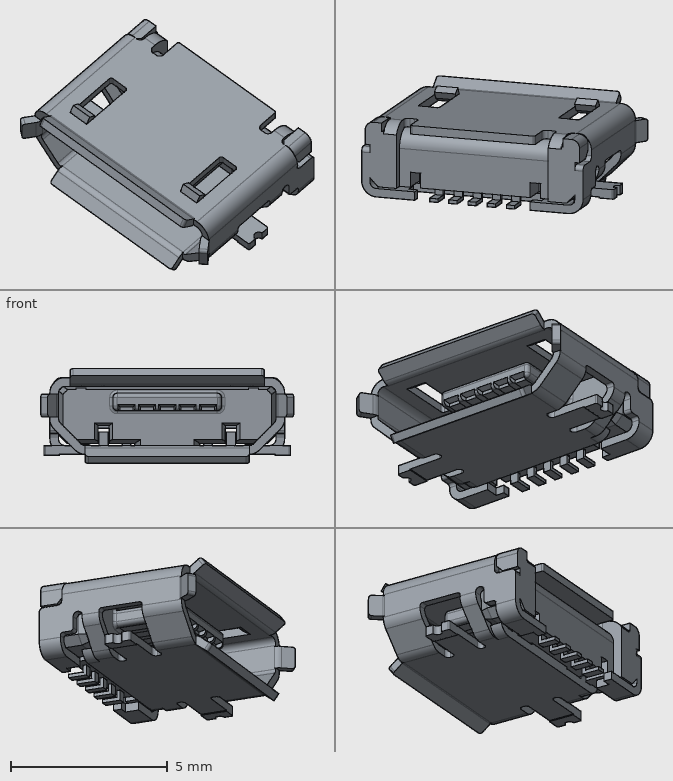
import cadquery as cq
import math


SHELL_WIDTH = 7.5
SHELL_HEIGHT = 2.45
SHELL_LENGTH = 5.0
SHEET = 0.28
BEND_RADIUS = 0.5
HALF_WIDTH = SHELL_WIDTH / 2
FULL_ROUND = 0.995
INNER_HALF_WIDTH = HALF_WIDTH - SHEET
INNER_TOP = SHELL_HEIGHT - SHEET
LOWER_CORNER_CUT = 0.943
MOUTH_SECTION_END = 3.49

LIP_RISE = 0.29
LIP_BEND_START = 0.05
LIP_BEND_RADIUS = 0.08
TOP_LIP_WIDTH = 6.2
BOTTOM_LIP_WIDTH = 5.24
SIDE_LIP_BOTTOM = 1.19
SIDE_LIP_TOP = 1.92
LIP_CORNER = 0.1
LIP_ANGLE = math.radians(36.5)

WINDOW_FRONT = 1.39
WINDOW_REAR = 2.90
WINDOW_TOP = 1.29
WINDOW_CORNER = 0.1
WINDOW_INNER = 2.44
RELIEF_END = 2.14
FOOT_FRONT = 1.71
FOOT_REAR = 2.62
FOOT_TIP = 3.94
FOOT_DROP = 0.035
FOOT_PAD_START = 3.445
FOOT_CORNER = 0.05
FOOT_NOTCH_RADIUS = 0.155

FINGER_INNER = 2.02
FINGER_OUTER = 2.73
FINGER_ROOT = 0.555
FINGER_SLOT_REAR = 2.49
FINGER_SLOT_CORNER = 0.08
FINGER_LENGTH = 0.275
FINGER_LEAN = math.radians(32)

J_SLOT_REAR = 3.80
J_SLOT_TOP = WINDOW_TOP
CHANNEL_TOP = 0.66
CHANNEL_BOTTOM = 0.32
CHANNEL_CORNER = 0.1
HOOK_FRONT = 4.25
HOOK_INNER = 2.25
FLOOR_REAR = 3.90
FLOOR_TAIL_HALF = 2.9
REAR_TAB_FRONT = 4.72
REAR_TAB_INNER = 1.95
ROOF_CORNER = 0.06
CORNER_NOTCH_FRONT = 4.20
CORNER_NOTCH_BOTTOM = 1.60
CORNER_NOTCH_INNER = 3.01
CORNER_NOTCH_RADIUS = 0.16
REAR_SLOT_OUTER = 2.57
REAR_SLOT_INNER = 2.11
REAR_SLOT_FRONT = 4.13
REAR_SLOT_CORNER = 0.15
CURL_FRONT = 4.40
CURL_DROP = 0.35

LATCH_CENTER = 2.03
LATCH_WIDTH = 0.31
LATCH_TOP = 0.72

HOUSING_FRONT = 3.30
HOUSING_TAPER_END = 3.75
HOUSING_BOTTOM = 0.34
HOUSING_LOWER_CUT = 0.28
HOUSING_UPPER_CUT = 0.15
FRONT_INSET_SIDE = 0.14
FRONT_INSET_TOP = 0.108
CENTER_FOOT_HALF = 0.85
FOOT_RAMP_WIDTH = 0.19
LEAD_IN_TOP = 0.476
LEAD_IN_DEPTH = HOUSING_TAPER_END - HOUSING_FRONT
LATCH_SLOT_WIDTH = 0.35
LATCH_SLOT_TOP = 0.83
LATCH_ENTRY_TOP = 0.916
LATCH_ENTRY_DEPTH = 0.6
LATCH_MOUTH_WIDTH = 0.57
LATCH_MOUTH_TOP = 1.0
LATCH_MOUTH_DEPTH = 0.2
RIB_INNER = 2.6
RIB_OUTER = 2.91
RIB_RISE = 0.05
BLOCK_OUTER = 3.63
BLOCK_INNER = 3.067
BLOCK_BOTTOM = 1.70
BLOCK_RADIUS = 0.27
BLOCK_CHAMFER = 0.22
BLOCK_CORNER = 0.12
REAR_FACE = 4.70
REAR_ROUND = 0.58

TONGUE_TIP = 1.0
TONGUE_HALF_WIDTH = 1.735
TONGUE_BOTTOM = 1.395
TONGUE_TOP = 1.95
TONGUE_RADIUS = 0.14
TONGUE_ROOT_RADIUS = 0.1

CONTACT_COUNT = 5
CONTACT_PITCH = 0.65
CONTACT_WIDTH = 0.42
CONTACT_TAIL_WIDTH = 0.28
CONTACT_THICKNESS = 0.12
CONTACT_BOTTOM = TONGUE_BOTTOM
CONTACT_RECESS = 0.2
POCKET_WIDTH = 0.55
POCKET_TOP = 1.59
LEG_FRONT = 4.40
TAIL_END = 5.025

OVERSHOOT = 1.0
TOUCH = 0.01


def box(x0, x1, y0, y1, z0, z1):
    return cq.Workplane("XY").box(x1 - x0, y1 - y0, z1 - z0, centered=False).translate((x0, y0, z0))


def along_y(outline, y0, y1):
    """Extrude a closed (x, z) outline from y0 to y1."""
    return cq.Workplane("XZ", origin=(0, y0, 0)).polyline(outline).close().extrude(y0 - y1)


def along_x(outline, x0, x1):
    """Extrude a closed (y, z) outline from x0 to x1."""
    return cq.Workplane("YZ", origin=(x0, 0, 0)).polyline(outline).close().extrude(x1 - x0)


def funnel(front, rear, y0, y1):
    """Straight-sided transition from one (x, z) outline at y0 to another at y1."""
    return (
        cq.Workplane("XZ", origin=(0, y0, 0)).polyline(front).close()
        .workplane(offset=y0 - y1).polyline(rear).close()
        .loft(ruled=True)
    )


def rectangle(x0, x1, z0, z1):
    return [(x0, z0), (x1, z0), (x1, z1), (x0, z1)]


def both_sides(solid):
    return solid.union(solid.mirror("YZ"))


def mouth_outline(inset):
    side = HALF_WIDTH - inset
    cut = LOWER_CORNER_CUT - inset * (2 - math.sqrt(2))
    top = SHELL_HEIGHT - inset
    return [
        (side, top),
        (-side, top),
        (-side, inset + cut),
        (-side + cut, inset),
        (side - cut, inset),
        (side, inset + cut),
    ]


def rear_outline(inset):
    return rectangle(-HALF_WIDTH + inset, HALF_WIDTH - inset, inset, SHELL_HEIGHT - inset)


def floor_tail_outline(inset):
    return rectangle(-FLOOR_TAIL_HALF + inset, FLOOR_TAIL_HALF - inset, inset, SHELL_HEIGHT - inset)


def tube(outline, y0, y1):
    """Bent sheet of constant thickness between an outline and its inset copy."""
    outer = along_y(outline(0), y0, y1).edges("|Y").fillet(BEND_RADIUS)
    inner = along_y(outline(SHEET), y0, y1).edges("|Y").fillet(BEND_RADIUS - SHEET)
    return outer.cut(inner)


def lip(width):
    """Lip along X at the origin, bent from -Y up towards +Z, on a wall whose outer face is z = 0."""
    sine = math.sin(LIP_ANGLE)
    cosine = math.cos(LIP_ANGLE)

    def on_bend(radius, angle):
        return (LIP_BEND_START - radius * math.sin(angle), LIP_BEND_RADIUS - radius * math.cos(angle))

    inner_radius = LIP_BEND_RADIUS + SHEET
    outer_bend_end = on_bend(LIP_BEND_RADIUS, LIP_ANGLE)
    tip_outer = (outer_bend_end[0] - (LIP_RISE - outer_bend_end[1]) * cosine / sine, LIP_RISE)
    tip_inner = (tip_outer[0] - SHEET * sine, LIP_RISE - SHEET * cosine)
    body = (
        cq.Workplane("YZ", origin=(-width / 2, 0, 0))
        .moveTo(LIP_BEND_START, 0)
        .threePointArc(on_bend(LIP_BEND_RADIUS, LIP_ANGLE / 2), outer_bend_end)
        .lineTo(*tip_outer)
        .lineTo(*tip_inner)
        .lineTo(*on_bend(inner_radius, LIP_ANGLE))
        .threePointArc(on_bend(inner_radius, LIP_ANGLE / 2), (LIP_BEND_START, -SHEET))
        .close()
        .extrude(width)
    )
    tip_middle = ((tip_outer[0] + tip_inner[0]) / 2, (tip_outer[1] + tip_inner[1]) / 2)
    for x in (-width / 2, width / 2):
        corner = cq.selectors.NearestToPointSelector((x, *tip_middle))
        body = body.edges(corner).fillet(LIP_CORNER)
    return body


def lip_seat(width):
    """Front strip of the shell wall that a lip of this width replaces."""
    return box(-width / 2, width / 2, 0, LIP_BEND_START, -SHEET, 0)


def around_mouth(make):
    """Place make(width) on the roof, the floor and both side walls."""
    top = make(TOP_LIP_WIDTH).translate((0, 0, SHELL_HEIGHT))
    bottom = make(BOTTOM_LIP_WIDTH).mirror("XY")
    side = make(SIDE_LIP_TOP - SIDE_LIP_BOTTOM).rotate((0, 0, 0), (0, 1, 0), 90)
    side = side.translate((HALF_WIDTH, 0, (SIDE_LIP_TOP + SIDE_LIP_BOTTOM) / 2))
    return top.union(bottom).union(both_sides(side))


def windows():
    window = box(
        WINDOW_INNER, HALF_WIDTH + OVERSHOOT, WINDOW_FRONT, WINDOW_REAR, -OVERSHOOT, WINDOW_TOP
    ).edges("|X and >Z").fillet(WINDOW_CORNER)
    relief_front = box(RELIEF_END, HALF_WIDTH, WINDOW_FRONT, FOOT_FRONT, 0, SHEET)
    relief_rear = box(RELIEF_END, HALF_WIDTH, FOOT_REAR, WINDOW_REAR, 0, SHEET)
    relief_radius = min(FOOT_FRONT - WINDOW_FRONT, WINDOW_REAR - FOOT_REAR) / 2
    cutter = window
    for relief in (relief_front, relief_rear):
        cutter = cutter.union(relief.edges("|Z and <X").fillet(FULL_ROUND * relief_radius))
    return both_sides(cutter)


def feet():
    foot = box(RELIEF_END, FOOT_TIP, FOOT_FRONT, FOOT_REAR, 0, SHEET)
    pad = box(FOOT_PAD_START, FOOT_TIP, FOOT_FRONT, FOOT_REAR, -FOOT_DROP, SHEET)
    notch = (
        cq.Workplane("XY", origin=(FOOT_TIP, (FOOT_FRONT + FOOT_REAR) / 2, -FOOT_DROP))
        .circle(FOOT_NOTCH_RADIUS).extrude(FOOT_DROP + SHEET)
    )
    foot = foot.union(pad).edges("|Z and >X").fillet(FOOT_CORNER).cut(notch)
    return both_sides(foot)


def finger_slots():
    slot = box(
        FINGER_INNER, FINGER_OUTER, FINGER_ROOT, FINGER_SLOT_REAR, INNER_TOP, SHELL_HEIGHT
    ).edges("|Z and >Y").fillet(FINGER_SLOT_CORNER)
    return both_sides(slot)


def fingers():
    rise = (math.sin(FINGER_LEAN), math.cos(FINGER_LEAN))
    tip = (FINGER_ROOT + FINGER_LENGTH * rise[0], SHELL_HEIGHT + FINGER_LENGTH * rise[1])
    tip_rear = (tip[0] + SHEET * rise[1], tip[1] - SHEET * rise[0])
    heel = (tip_rear[0] - FINGER_LENGTH * rise[0], tip_rear[1] - FINGER_LENGTH * rise[1])
    finger = along_x(
        [(FINGER_ROOT, INNER_TOP), (FINGER_ROOT, SHELL_HEIGHT), tip, tip_rear, heel],
        FINGER_INNER, FINGER_OUTER,
    )
    return both_sides(finger)


def side_slots():
    """J-shaped slot in each side wall."""
    def corner(y, z):
        return cq.selectors.BoxSelector((0, y - TOUCH, z - TOUCH), (2 * HALF_WIDTH, y + TOUCH, z + TOUCH))

    slot = along_x(
        [
            (MOUTH_SECTION_END, CHANNEL_BOTTOM),
            (HOOK_FRONT, CHANNEL_BOTTOM),
            (HOOK_FRONT, CHANNEL_TOP),
            (J_SLOT_REAR, CHANNEL_TOP),
            (J_SLOT_REAR, J_SLOT_TOP),
            (MOUTH_SECTION_END, J_SLOT_TOP),
        ],
        FLOOR_TAIL_HALF, HALF_WIDTH + OVERSHOOT,
    )
    for y in (HOOK_FRONT, J_SLOT_REAR):
        slot = slot.edges(corner(y, CHANNEL_TOP)).fillet(CHANNEL_CORNER)
    top_radius = (J_SLOT_REAR - MOUTH_SECTION_END) / 2
    return both_sides(slot.edges("|X and >Z").fillet(FULL_ROUND * top_radius))


def floor_cuts():
    """Gap across the floor, and the opening between the rear hooks."""
    gap = box(-HALF_WIDTH, HALF_WIDTH, MOUTH_SECTION_END, HOOK_FRONT, 0, CHANNEL_BOTTOM)
    between_hooks = box(-HOOK_INNER, HOOK_INNER, HOOK_FRONT, REAR_TAB_FRONT, 0, SHEET)
    between_tabs = box(-REAR_TAB_INNER, REAR_TAB_INNER, REAR_TAB_FRONT, SHELL_LENGTH, 0, SHEET)
    return gap.union(between_hooks).union(between_tabs)


def floor_tail():
    """Floor behind the mouth section, its side edges turned up."""
    low = box(-FLOOR_TAIL_HALF, FLOOR_TAIL_HALF, MOUTH_SECTION_END, FLOOR_REAR, 0, CHANNEL_BOTTOM)
    return tube(floor_tail_outline, MOUTH_SECTION_END, FLOOR_REAR).intersect(low)


def corner_notches():
    notch = box(
        CORNER_NOTCH_INNER, HALF_WIDTH + OVERSHOOT, CORNER_NOTCH_FRONT, SHELL_LENGTH,
        CORNER_NOTCH_BOTTOM, SHELL_HEIGHT + OVERSHOOT,
    )
    notch = notch.edges("<Y and (<X or <Z)").fillet(CORNER_NOTCH_RADIUS)
    return both_sides(notch)


def rear_slots():
    """Slots from the rear edge of the roof, and the curled strip outside each slot."""
    slot = box(
        REAR_SLOT_INNER, REAR_SLOT_OUTER, REAR_SLOT_FRONT, SHELL_LENGTH, INNER_TOP, SHELL_HEIGHT
    ).edges("|Z and <Y").fillet(REAR_SLOT_CORNER)
    length = SHELL_LENGTH - CURL_FRONT
    radius = (length**2 + CURL_DROP**2) / (2 * CURL_DROP)
    half_sweep = math.asin(length / radius) / 2
    curl = (
        cq.Workplane("YZ", origin=(REAR_SLOT_OUTER, 0, 0))
        .moveTo(CURL_FRONT, SHELL_HEIGHT)
        .threePointArc(
            (CURL_FRONT + radius * math.sin(half_sweep), SHELL_HEIGHT - radius * (1 - math.cos(half_sweep))),
            (SHELL_LENGTH, SHELL_HEIGHT - CURL_DROP),
        )
        .lineTo(SHELL_LENGTH, SHELL_HEIGHT)
        .close()
        .extrude(CORNER_NOTCH_INNER - REAR_SLOT_OUTER)
    )
    return both_sides(slot.union(curl))


def latches():
    latch = box(
        LATCH_CENTER - LATCH_WIDTH / 2, LATCH_CENTER + LATCH_WIDTH / 2,
        FLOOR_REAR - SHEET, FLOOR_REAR, 0, LATCH_TOP,
    )
    return both_sides(latch)


def round_rear_corners(body):
    """Round the rear corners of the side walls and of the roof between the slots."""
    for side in (-1, 1):
        sill = (side * (HALF_WIDTH - SHEET / 2), SHELL_LENGTH, CORNER_NOTCH_BOTTOM)
        roof = (side * REAR_SLOT_INNER, SHELL_LENGTH, SHELL_HEIGHT - SHEET / 2)
        body = body.edges(cq.selectors.NearestToPointSelector(sill)).fillet(CORNER_NOTCH_RADIUS)
        body = body.edges(cq.selectors.NearestToPointSelector(roof)).fillet(ROOF_CORNER)
    return body


def shell():
    body = tube(mouth_outline, 0, MOUTH_SECTION_END)
    body = body.union(tube(rear_outline, MOUTH_SECTION_END, SHELL_LENGTH))
    body = body.cut(side_slots()).cut(floor_cuts()).union(floor_tail())
    body = body.cut(windows()).union(feet())
    body = body.cut(finger_slots()).union(fingers())
    body = round_rear_corners(body.cut(corner_notches()).cut(rear_slots()))
    return body.cut(around_mouth(lip_seat)).union(around_mouth(lip)).union(latches())


def housing_outline(side, top, bottom, lower_cut, upper_cut):
    half = [
        (side - lower_cut, bottom),
        (side, bottom + lower_cut),
        (side, top - upper_cut),
        (side - upper_cut, top),
    ]
    return half + [(-x, z) for x, z in reversed(half)]


def housing_block():
    rear = housing_outline(INNER_HALF_WIDTH, INNER_TOP, HOUSING_BOTTOM, HOUSING_LOWER_CUT, HOUSING_UPPER_CUT)
    front = housing_outline(
        INNER_HALF_WIDTH - FRONT_INSET_SIDE, INNER_TOP - FRONT_INSET_TOP,
        HOUSING_BOTTOM, HOUSING_LOWER_CUT, HOUSING_UPPER_CUT,
    )
    taper = funnel(front, rear, HOUSING_FRONT, HOUSING_TAPER_END)
    foot = box(
        -CENTER_FOOT_HALF - FOOT_RAMP_WIDTH, CENTER_FOOT_HALF + FOOT_RAMP_WIDTH,
        HOUSING_FRONT, FLOOR_REAR, SHEET, HOUSING_BOTTOM,
    )
    front_top = INNER_TOP - FRONT_INSET_TOP
    rib = box(
        RIB_INNER, RIB_OUTER, HOUSING_FRONT, HOUSING_TAPER_END, front_top - RIB_RISE, front_top + RIB_RISE
    )
    return taper.union(along_y(rear, HOUSING_TAPER_END, SHELL_LENGTH)).union(foot).union(both_sides(rib))


def lead_ins():
    """Sloped lead-in under the front edge, each side of the central foot."""
    outer = INNER_HALF_WIDTH
    inner = CENTER_FOOT_HALF
    inner_rear = inner + FOOT_RAMP_WIDTH
    rear_end = HOUSING_FRONT + LEAD_IN_DEPTH
    slope = funnel(
        rectangle(inner, outer, 0, LEAD_IN_TOP),
        rectangle(inner_rear, outer, 0, HOUSING_BOTTOM),
        HOUSING_FRONT, rear_end,
    )
    behind = box(inner_rear, outer, rear_end, SHELL_LENGTH, 0, HOUSING_BOTTOM)
    return both_sides(slope.union(behind))


def latch_slots():
    """Slot for each floor latch, open through the housing, with a flared mouth at the front."""
    def section(width, top):
        return rectangle(LATCH_CENTER - width / 2, LATCH_CENTER + width / 2, 0, top)

    mouth = funnel(
        section(LATCH_MOUTH_WIDTH, LATCH_MOUTH_TOP),
        section(LATCH_SLOT_WIDTH, LATCH_ENTRY_TOP),
        HOUSING_FRONT, HOUSING_FRONT + LATCH_MOUTH_DEPTH,
    )
    entry_end = HOUSING_FRONT + LATCH_ENTRY_DEPTH
    entry = along_y(section(LATCH_SLOT_WIDTH, LATCH_ENTRY_TOP), HOUSING_FRONT, entry_end)
    through = along_y(section(LATCH_SLOT_WIDTH, LATCH_SLOT_TOP), HOUSING_FRONT, SHELL_LENGTH)
    return both_sides(mouth.union(entry).union(through))


def corner_blocks():
    """Blocks that fill the rear corner notches of the shell."""
    block = box(BLOCK_INNER, BLOCK_OUTER, CORNER_NOTCH_FRONT, SHELL_LENGTH, BLOCK_BOTTOM, SHELL_HEIGHT)
    block = block.edges("|Y and >X and >Z").fillet(BLOCK_RADIUS)
    block = block.edges("|X and <Y and <Z").chamfer(BLOCK_CHAMFER)
    block = block.edges("|Z and <Y and <X").chamfer(BLOCK_CORNER)
    return both_sides(block)


def rear_recess():
    """Space behind the middle of the housing, whose top edge is rounded over."""
    start = REAR_FACE - REAR_ROUND
    center = INNER_TOP - REAR_ROUND
    diagonal = REAR_ROUND / math.sqrt(2)
    recess = (
        cq.Workplane("YZ", origin=(-REAR_SLOT_OUTER, 0, 0))
        .moveTo(start, INNER_TOP)
        .threePointArc(
            (start + diagonal, center + diagonal),
            (REAR_FACE, center),
        )
        .lineTo(REAR_FACE, 0)
        .lineTo(SHELL_LENGTH, 0)
        .lineTo(SHELL_LENGTH, INNER_TOP)
        .close()
    )
    return recess.extrude(2 * REAR_SLOT_OUTER)


def add_tongue(body):
    """Tongue with all tip edges rounded, blended into the front face of the housing."""
    bar = box(-TONGUE_HALF_WIDTH, TONGUE_HALF_WIDTH, TONGUE_TIP, HOUSING_FRONT, TONGUE_BOTTOM, TONGUE_TOP)
    bar = bar.edges("|Y").fillet(TONGUE_RADIUS)
    bar = bar.faces("<Y").edges().fillet(TONGUE_RADIUS * FULL_ROUND)
    root = cq.selectors.BoxSelector(
        (-TONGUE_HALF_WIDTH - TOUCH, HOUSING_FRONT - TOUCH, TONGUE_BOTTOM - TOUCH),
        (TONGUE_HALF_WIDTH + TOUCH, HOUSING_FRONT + TOUCH, TONGUE_TOP + TOUCH),
        boundingbox=True,
    )
    return body.union(bar).edges(root).fillet(TONGUE_ROOT_RADIUS)


def contact_pocket(x):
    """Funnel in the tongue tip that narrows to the section of the contact."""
    return funnel(
        rectangle(x - POCKET_WIDTH / 2, x + POCKET_WIDTH / 2, CONTACT_BOTTOM, POCKET_TOP),
        rectangle(
            x - CONTACT_WIDTH / 2, x + CONTACT_WIDTH / 2, CONTACT_BOTTOM, CONTACT_BOTTOM + CONTACT_THICKNESS
        ),
        TONGUE_TIP, TONGUE_TIP + CONTACT_RECESS,
    )


def contact(x):
    """Flat beam in the tongue, a leg down through the housing and a tail on the board."""
    leg_rear = LEG_FRONT + CONTACT_THICKNESS
    half = CONTACT_WIDTH / 2
    tail_half = CONTACT_TAIL_WIDTH / 2
    top = CONTACT_BOTTOM + CONTACT_THICKNESS
    beam = box(x - half, x + half, TONGUE_TIP + CONTACT_RECESS, leg_rear, CONTACT_BOTTOM, top)
    leg = box(x - tail_half, x + tail_half, LEG_FRONT, leg_rear, 0, top)
    tail = box(x - tail_half, x + tail_half, LEG_FRONT, TAIL_END, 0, CONTACT_THICKNESS)
    return beam.union(leg).union(tail)


def housing():
    body = housing_block().cut(lead_ins()).cut(latch_slots()).cut(rear_recess()).cut(rear_slots())
    return add_tongue(body.union(corner_blocks()))


contact_places = [(i - (CONTACT_COUNT - 1) / 2) * CONTACT_PITCH for i in range(CONTACT_COUNT)]
contacts = [contact(x) for x in contact_places]

receptacle = shell().union(housing())
for place, pin in zip(contact_places, contacts):
    receptacle = receptacle.cut(contact_pocket(place)).cut(pin)

result = cq.Compound.makeCompound([receptacle.solids().val(), *[pin.val() for pin in contacts]])